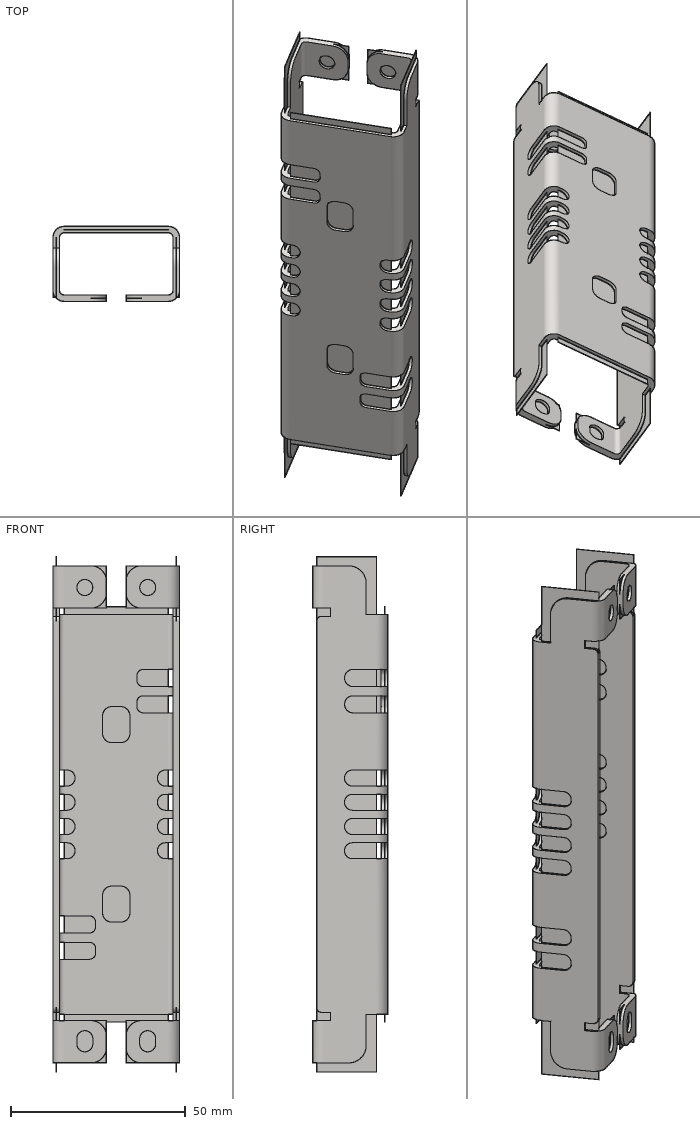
import cadquery as cq

WIDTH = 36.3
DEPTH = 21.5
LENGTH = 147.7

SHEET = 1.9
BEND_OUTER = 3.2
BEND_INNER = BEND_OUTER - SHEET
WEB = 0.1

HALF_WIDTH = WIDTH / 2
BACK = DEPTH / 2
FRONT = -DEPTH / 2
FLAT_X = HALF_WIDTH - BEND_OUTER
FLAT_BACK = BACK - BEND_OUTER
FLAT_FRONT = FRONT + BEND_OUTER

BODY_END = 57.3
PANEL_WEB_END = 59.5
WALL_FRONT = -9.6
WALL_CORNER = 1.3

EAR_END = 71.2
EAR_BACK = 4.6
EAR_CORNER = 5.0

TAB_START = 59.0
TAB_INNER = 2.8
TAB_CORNER = 4.5
RELIEF_START = 56.7
RELIEF_BACK = -5.6

HOLE_X = 9.0
HOLE_Z = 65.0
HOLE_WIDTH = 4.6
LONG_HOLE = 6.0

WINDOW_WIDTH = 7.8
WINDOW_HEIGHT = 10.3
WINDOW_CORNER = 2.7
WINDOW_Z = 25.7

FULL_ROUND = 0.49
SLOT_WALL_TIP = -1.6
MID_SLOT_HEIGHT = 4.6
MID_SLOT_PITCH = 7.0
MID_SLOT_COUNT = 4
MID_SLOT_TIP = 11.8
MID_SLOT_CORNER = FULL_ROUND * MID_SLOT_HEIGHT
LONG_SLOT_HEIGHT = 4.9
LONG_SLOT_PITCH = 7.5
LONG_SLOT_Z = 35.3
LONG_SLOT_TIP = 5.9
LONG_SLOT_CORNER = 1.8


def box(x0, x1, y0, y1, z0, z1):
    """Axis-aligned block between two opposite corners."""
    return cq.Workplane("XY").box(x1 - x0, y1 - y0, z1 - z0, centered=False).translate((x0, y0, z0))


def channel():
    """U-shaped body: back panel, two bends and two side walls."""
    outer = box(-HALF_WIDTH, HALF_WIDTH, WALL_FRONT, BACK, -BODY_END, BODY_END)
    outer = outer.edges("|Z and >Y").fillet(BEND_OUTER)
    inner_half = HALF_WIDTH - SHEET
    inner = box(-inner_half, inner_half, FRONT, BACK - SHEET, -BODY_END, BODY_END)
    inner = inner.edges("|Z and >Y").fillet(BEND_INNER)
    return outer.cut(inner)


def ear():
    """Upper +X ear: side wall plate past the body end, with a rounded back corner."""
    plate = box(HALF_WIDTH - SHEET, HALF_WIDTH, FLAT_FRONT, EAR_BACK, BODY_END, EAR_END)
    return plate.edges("|X and >Y and >Z").fillet(EAR_CORNER)


def fold_and_tab():
    """Upper +X bend and the rounded tab that follows it."""
    tab_height = EAR_END - TAB_START
    bend = (
        cq.Workplane("XY", origin=(0, 0, TAB_START))
        .moveTo(HALF_WIDTH, FLAT_FRONT)
        .radiusArc((FLAT_X, FRONT), BEND_OUTER)
        .lineTo(FLAT_X, FRONT + SHEET)
        .radiusArc((HALF_WIDTH - SHEET, FLAT_FRONT), -BEND_INNER)
        .close()
        .extrude(tab_height)
    )
    tab = box(TAB_INNER, FLAT_X, FRONT, FRONT + SHEET, TAB_START, EAR_END)
    tab = tab.edges("|Y and <X").fillet(TAB_CORNER)
    return bend.union(tab)


def wall_rounding():
    """Upper +X sliver removed to round the wall edge beside the relief."""
    start = RELIEF_START - WALL_CORNER
    return (
        cq.Workplane("YZ", origin=(HALF_WIDTH - SHEET, 0, 0))
        .moveTo(WALL_FRONT, start)
        .radiusArc((WALL_FRONT + WALL_CORNER, RELIEF_START), WALL_CORNER)
        .lineTo(WALL_FRONT + WALL_CORNER, BODY_END)
        .lineTo(WALL_FRONT, BODY_END)
        .close()
        .extrude(SHEET)
    )


def bend_relief():
    """Upper +X notch between the wall edge and the tab bend."""
    return box(FLAT_X, HALF_WIDTH, FRONT, RELIEF_BACK, RELIEF_START, TAB_START)


def four_corners(quarter):
    """Repeat an upper +X feature on both sides and at both ends."""
    side_pair = quarter.union(quarter.mirror("YZ"))
    return side_pair.union(side_pair.mirror("XY"))


def wrap_slot(side, z, height, panel_tip, panel_corner):
    """Slot through one side wall, its back bend and the panel, with rounded tips."""
    bottom = z - height / 2
    top = z + height / 2
    wall = box(FLAT_X, HALF_WIDTH, SLOT_WALL_TIP, BACK, bottom, top)
    wall = wall.edges("|X and <Y").fillet(FULL_ROUND * height)
    panel = box(panel_tip, FLAT_X, BACK - SHEET, BACK, bottom, top)
    panel = panel.edges("|Y and <X").fillet(panel_corner)
    slot = wall.union(panel)
    return slot if side > 0 else slot.mirror("YZ")


def panel_window(z):
    """Upright opening with rounded corners through the back panel."""
    half_width = WINDOW_WIDTH / 2
    half_height = WINDOW_HEIGHT / 2
    window = box(-half_width, half_width, BACK - SHEET, BACK, z - half_height, z + half_height)
    return window.edges("|Y").fillet(WINDOW_CORNER)


def membranes():
    """Thin mid-thickness webs that span the flat faces across slots and corners."""
    inset = (SHEET - WEB) / 2
    outside = HALF_WIDTH - inset
    wall = box(outside - WEB, outside, WALL_FRONT, FLAT_BACK, -LENGTH / 2, LENGTH / 2)
    tab = box(TAB_INNER, FLAT_X, FRONT + inset, FRONT + inset + WEB, TAB_START, EAR_END)
    panel = box(-FLAT_X, FLAT_X, BACK - inset - WEB, BACK - inset, -PANEL_WEB_END, PANEL_WEB_END)
    return four_corners(tab).union(wall).union(wall.mirror("YZ")).union(panel)


result = channel().union(four_corners(ear())).union(four_corners(fold_and_tab()))
result = result.cut(four_corners(bend_relief().union(wall_rounding())))

for side in (-1, 1):
    for index in range(MID_SLOT_COUNT):
        z = (index - (MID_SLOT_COUNT - 1) / 2) * MID_SLOT_PITCH
        result = result.cut(wrap_slot(side, z, MID_SLOT_HEIGHT, MID_SLOT_TIP, MID_SLOT_CORNER))
    for offset in (-LONG_SLOT_PITCH / 2, LONG_SLOT_PITCH / 2):
        z = side * LONG_SLOT_Z + offset
        result = result.cut(wrap_slot(side, z, LONG_SLOT_HEIGHT, LONG_SLOT_TIP, LONG_SLOT_CORNER))

for end in (-1, 1):
    result = result.cut(panel_window(end * WINDOW_Z))
for side in (-1, 1):
    round_hole = cq.Workplane("XZ", origin=(side * HOLE_X, FRONT, HOLE_Z)).circle(HOLE_WIDTH / 2)
    result = result.cut(round_hole.extrude(-SHEET))
    long_hole = cq.Workplane("XZ", origin=(side * HOLE_X, FRONT, -HOLE_Z)).slot2D(LONG_HOLE, HOLE_WIDTH, 90)
    result = result.cut(long_hole.extrude(-SHEET))

result = result.union(membranes())